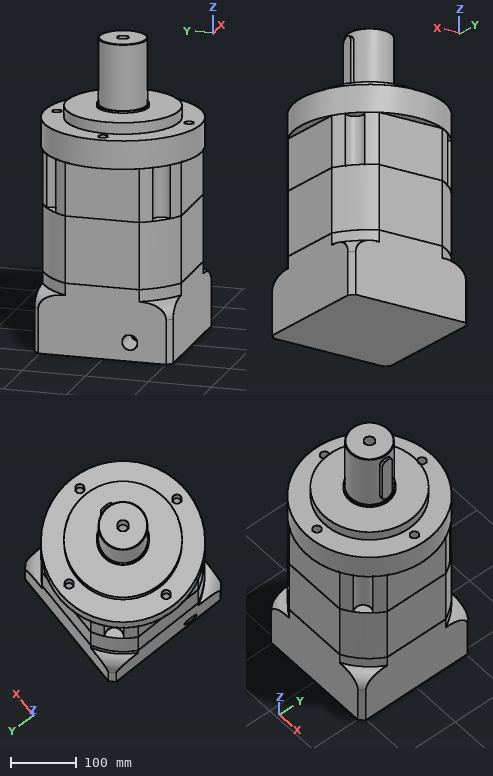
import cadquery as cq
import math

BODY_WIDTH = 220.0
BODY_CORNER_DIAMETER = 249.5
BODY_CORNER_RADIUS = BODY_CORNER_DIAMETER / 2

ADAPTER_TOP = 115.5
ADAPTER_SHOULDER = 96.5
ADAPTER_CORNER_RADIUS = 149.5
CORNER_ROUND = ADAPTER_CORNER_RADIUS - BODY_CORNER_RADIUS
ACCESS_HOLE_DIAMETER = 24.0
ACCESS_HOLE_Y = -43.5
ACCESS_HOLE_Z = 30.0
ACCESS_HOLE_DEPTH = 48.0
ACCESS_END_RADIUS = 29.0
ACCESS_END_Y = -40.5

RING_TOP = 222.5
FLANGE_BOTTOM = 308.0
FLANGE_TOP = 353.0
PILOT_TOP = 371.0
FLANGE_DIAMETER = 250.0
PILOT_DIAMETER = 180.0
POCKET_CENTRE_RADIUS = 123.5
POCKET_RADIUS = 15.0
FLANGE_HOLE_DIAMETER = 14.5
FLANGE_HOLE_CIRCLE_RADIUS = 105.0
FLANGE_HOLE_DEPTH = 29.0

SHAFT_TOP = 479.5
SHAFT_DIAMETER = 75.0
SHAFT_CHAMFER = 1.0
COLLAR_DIAMETER = 80.0
COLLAR_HEIGHT = 3.0
CENTRE_HOLE_DIAMETER = 17.7
CENTRE_HOLE_DEPTH = 38.5
KEY_WIDTH = 20.0
KEY_BOTTOM = 382.0
KEY_TOP = 472.5
KEY_REACH = 41.5

DRILL_POINT_ANGLE = 118.0
CORNER_ANGLES = (45, 135, 225, 315)
AXIS_ANGLES = (0, 90, 180, 270)


def cylinder(diameter, bottom, top):
    """Upright cylinder on the Z axis."""
    return cq.Workplane("XY").workplane(offset=bottom).circle(diameter / 2).extrude(top - bottom)


def square_block(bottom, top):
    """Square block with the body's width."""
    return cq.Workplane("XY").workplane(offset=bottom).rect(BODY_WIDTH, BODY_WIDTH).extrude(top - bottom)


def body_section(bottom, top):
    """Length of the square body with its corners turned round."""
    return square_block(bottom, top).intersect(cylinder(BODY_CORNER_DIAMETER, bottom, top))


def place_at_angle(shape, radius, angle):
    """Move a shape out along X, then swing it round the Z axis."""
    return shape.translate((radius, 0, 0)).rotate((0, 0, 0), (0, 0, 1), angle)


def drilled_hole(diameter, mouth, depth):
    """Blind hole going down from the mouth, ending in a drill point."""
    radius = diameter / 2
    bottom = mouth - depth
    point_depth = radius / math.tan(math.radians(DRILL_POINT_ANGLE / 2))
    profile = (
        cq.Workplane("XZ")
        .moveTo(0, mouth)
        .lineTo(radius, mouth)
        .lineTo(radius, bottom)
        .lineTo(0, bottom - point_depth)
        .close()
    )
    return profile.revolve(360, (0, 0, 0), (0, 1, 0))


def make_access_hole():
    """Side hole from the -X face, closed by a concave upright wall."""
    end_centre_x = ACCESS_HOLE_DEPTH - ACCESS_END_RADIUS
    hole = (
        cq.Workplane("YZ")
        .center(ACCESS_HOLE_Y, ACCESS_HOLE_Z)
        .circle(ACCESS_HOLE_DIAMETER / 2)
        .extrude(ACCESS_HOLE_DEPTH)
    )
    end_wall = cylinder(2 * ACCESS_END_RADIUS, 0, ADAPTER_TOP).translate((end_centre_x, ACCESS_END_Y, 0))
    entry = cq.Workplane("XY").box(
        end_centre_x, 2 * ACCESS_END_RADIUS, ADAPTER_TOP, centered=(False, True, False)
    ).translate((0, ACCESS_END_Y, 0))
    return hole.intersect(entry.union(end_wall)).translate((-BODY_WIDTH / 2, 0, 0))


def make_adapter():
    """Motor adapter: a square foot with rounded corner shoulders below the body section."""
    rounding_start = ADAPTER_SHOULDER - CORNER_ROUND
    mid_angle = math.radians(45)
    foot = (
        cq.Workplane("XZ")
        .lineTo(ADAPTER_CORNER_RADIUS, 0)
        .lineTo(ADAPTER_CORNER_RADIUS, rounding_start)
        .threePointArc(
            (
                BODY_CORNER_RADIUS + CORNER_ROUND * math.cos(mid_angle),
                rounding_start + CORNER_ROUND * math.sin(mid_angle),
            ),
            (BODY_CORNER_RADIUS, ADAPTER_SHOULDER),
        )
        .lineTo(BODY_CORNER_RADIUS, ADAPTER_TOP)
        .lineTo(0, ADAPTER_TOP)
        .close()
        .revolve(360, (0, 0, 0), (0, 1, 0))
    )
    return foot.intersect(square_block(0, ADAPTER_TOP)).cut(make_access_hole())


def make_gear_ring():
    """Plain middle length of the body."""
    return body_section(ADAPTER_TOP, RING_TOP)


def make_output_housing():
    """Body section with corner pockets, carrying the round flange and pilot."""
    housing = body_section(RING_TOP, FLANGE_BOTTOM)
    pocket = cylinder(2 * POCKET_RADIUS, RING_TOP, FLANGE_BOTTOM)
    for angle in CORNER_ANGLES:
        housing = housing.cut(place_at_angle(pocket, POCKET_CENTRE_RADIUS, angle))

    housing = housing.union(cylinder(FLANGE_DIAMETER, FLANGE_BOTTOM, FLANGE_TOP))
    housing = housing.union(cylinder(PILOT_DIAMETER, FLANGE_TOP, PILOT_TOP))

    hole = drilled_hole(FLANGE_HOLE_DIAMETER, FLANGE_TOP, FLANGE_HOLE_DEPTH)
    for angle in AXIS_ANGLES:
        housing = housing.cut(place_at_angle(hole, FLANGE_HOLE_CIRCLE_RADIUS, angle))
    return housing


def make_output_shaft():
    """Shaft standing on the pilot, with a collar, an integral key and a centre hole."""
    shaft = cylinder(SHAFT_DIAMETER, PILOT_TOP, SHAFT_TOP).faces(">Z").chamfer(SHAFT_CHAMFER)
    collar = cylinder(COLLAR_DIAMETER, PILOT_TOP, PILOT_TOP + COLLAR_HEIGHT)
    key = (
        cq.Workplane("YZ")
        .center(0, (KEY_BOTTOM + KEY_TOP) / 2)
        .slot2D(KEY_TOP - KEY_BOTTOM, KEY_WIDTH, 90)
        .extrude(KEY_REACH)
    )
    centre_hole = drilled_hole(CENTRE_HOLE_DIAMETER, SHAFT_TOP, CENTRE_HOLE_DEPTH)
    return shaft.union(collar).union(key).cut(centre_hole)


adapter = make_adapter().solids()
gear_ring = make_gear_ring().solids()
output_housing = make_output_housing().solids()
output_shaft = make_output_shaft().solids()

result = cq.Compound.makeCompound(
    [body.val() for body in (adapter, gear_ring, output_housing, output_shaft)]
)